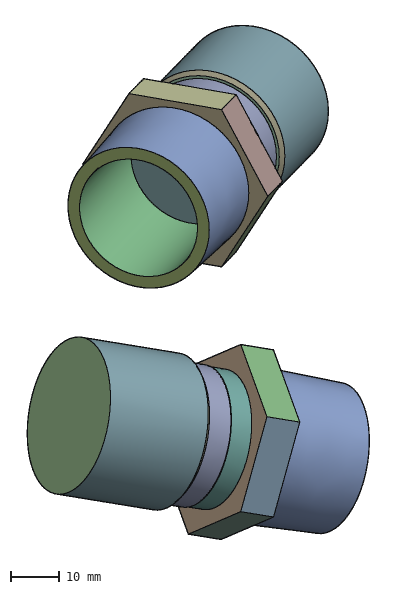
import cadquery as cq
import math

total_length = 63.5
taper_length = 20.0
hex_length = 8.0
groove_length = 5.1
neck_length = 5.7
sleeve_length = total_length - taper_length - hex_length - groove_length - neck_length

hex_across_flats = 36.0
taper_tip_diameter = 31.75
sleeve_diameter = 33.0
taper_base_diameter = sleeve_diameter
groove_diameter = 29.5
neck_diameter = 30.0
sleeve_lip_diameter = 31.25
sleeve_lip_length = 0.9
bore_diameter = 26.5

tip_y = -total_length / 2
hex_front_y = tip_y + taper_length
hex_back_y = hex_front_y + hex_length
neck_y = hex_back_y + groove_length
sleeve_y = neck_y + neck_length
end_y = sleeve_y + sleeve_length
bore_depth = hex_back_y - tip_y


def turned_body():
    """Revolve the half profile of taper, necks and sleeve about the Y axis."""
    profile = [
        (0, tip_y),
        (taper_tip_diameter / 2, tip_y),
        (taper_base_diameter / 2, hex_front_y),
        (groove_diameter / 2, hex_front_y),
        (groove_diameter / 2, neck_y),
        (neck_diameter / 2, neck_y),
        (neck_diameter / 2, sleeve_y),
        (sleeve_lip_diameter / 2, sleeve_y),
        (sleeve_diameter / 2, sleeve_y + sleeve_lip_length),
        (sleeve_diameter / 2, end_y),
        (0, end_y),
    ]
    return cq.Workplane("XY").polyline(profile).close().revolve(360, (0, 0), (0, 1))


def along_y(start_y):
    """Sketch plane at start_y whose extrusions run toward +Y."""
    return cq.Workplane(cq.Plane(origin=(0, start_y, 0), xDir=(1, 0, 0), normal=(0, 1, 0)))


hex_across_corners = hex_across_flats / math.cos(math.pi / 6)
hex_collar = along_y(hex_front_y).polygon(6, hex_across_corners).extrude(hex_length)
bore = along_y(tip_y).circle(bore_diameter / 2).extrude(bore_depth)

result = turned_body().union(hex_collar).cut(bore)